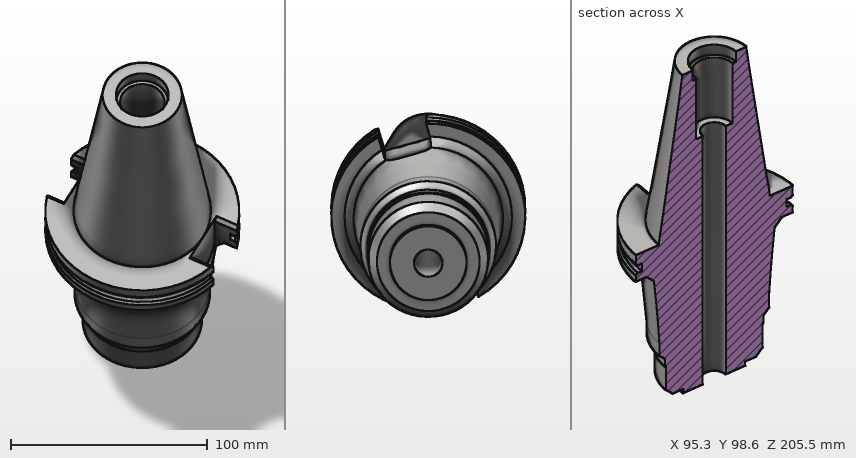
import cadquery as cq

height = 205.5
gauge_z = 104.0
flange_top_z = 102.8
flange_bottom_z = 85.3
flange_cone_end_z = 80.8
body_taper_end_z = 39.0
body_bottom_z = 30.8
collar_top_z = 27.3
collar_bottom_z = 22.5
nose_chamfer_z = 7.0
nose_face_z = 2.7

taper_small_radius = 20.1
gauge_radius = 35.0
flange_radius = 49.3
flange_cone_radius = 42.5
body_top_radius = 38.0
body_bottom_radius = 34.5
collar_radius = 31.0
nose_radius = 30.5
nose_face_radius = 26.1
tip_radius = 19.5

groove_top_z = 95.5
groove_bottom_z = 90.9
groove_radius = 45.6
groove_lip = 1.2

slot_width = 25.3
slot_chamfer = 2.0
left_slot_distance = 37.5
right_slot_distance = 35.0
slot_round_z = flange_bottom_z
slot_overrun = 2.0

marker_radius = 5.0
marker_z = 93.3
marker_depth = 0.5

mouth_radius = 13.4
mouth_depth = 6.5
draw_bar_radius = 11.3
draw_bar_depth = 45.2
coolant_radius = 7.2


def turned_body():
    """Revolve the outer half profile about Z."""
    groove_lip_radius = flange_radius - groove_lip
    profile = [
        (0, 0),
        (tip_radius, 0),
        (tip_radius, nose_face_z),
        (nose_face_radius, nose_face_z),
        (nose_radius, nose_chamfer_z),
        (nose_radius, collar_bottom_z),
        (collar_radius, collar_bottom_z),
        (collar_radius, collar_top_z),
        (body_bottom_radius, body_bottom_z),
        (body_bottom_radius, body_taper_end_z),
        (body_top_radius, flange_cone_end_z),
        (flange_cone_radius, flange_bottom_z),
        (flange_radius, flange_bottom_z),
        (flange_radius, groove_bottom_z - groove_lip),
        (groove_lip_radius, groove_bottom_z),
        (groove_radius, groove_bottom_z),
        (groove_radius, groove_top_z),
        (groove_lip_radius, groove_top_z),
        (flange_radius, groove_top_z + groove_lip),
        (flange_radius, flange_top_z),
        (gauge_radius, flange_top_z),
        (gauge_radius, gauge_z),
        (taper_small_radius, height),
        (0, height),
    ]
    return cq.Workplane("XZ").polyline(profile).close().revolve(360, (0, 0), (0, 1))


def slot_cutter(distance):
    """Round-bottomed slot with chamfered mouth, cutting from distance outward along +X."""
    half = slot_width / 2
    mouth_half = half + slot_chamfer
    chamfer_z = flange_top_z - slot_chamfer
    return (
        cq.Workplane("YZ", origin=(distance, 0, 0))
        .moveTo(-half, slot_round_z)
        .threePointArc((0, slot_round_z - half), (half, slot_round_z))
        .lineTo(half, chamfer_z)
        .lineTo(mouth_half, flange_top_z)
        .lineTo(-mouth_half, flange_top_z)
        .lineTo(-half, chamfer_z)
        .close()
        .extrude(flange_radius - distance + slot_overrun)
    )


def marker_recess():
    """Shallow radial recess going inward from the left slot floor."""
    return (
        cq.Workplane("YZ", origin=(-left_slot_distance, 0, marker_z))
        .circle(marker_radius)
        .extrude(marker_depth)
    )


def bore(radius, depth):
    """Cylinder reaching down from the small end of the taper."""
    return cq.Workplane("XY", origin=(0, 0, height)).circle(radius).extrude(-depth)


result = turned_body()

result = result.cut(slot_cutter(right_slot_distance))
result = result.cut(slot_cutter(left_slot_distance).rotate((0, 0, 0), (0, 0, 1), 180))
result = result.cut(marker_recess())

for radius, depth in [
    (mouth_radius, mouth_depth),
    (draw_bar_radius, draw_bar_depth),
    (coolant_radius, height),
]:
    result = result.cut(bore(radius, depth))